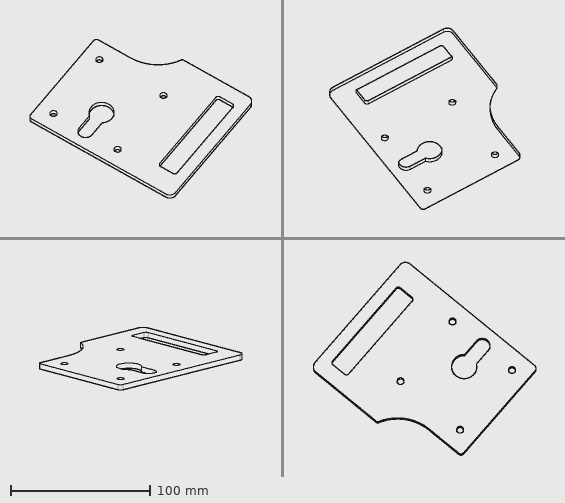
import cadquery as cq
import math

length = 125.0
width = 105.0
thickness = 4.0
left_corner_radius = 2.5
right_corner_radius = 5.0

step_height = 85.0
scoop_radius = 35.0
scoop_start_x = 30.5

lock_x = 41.0
lock_y = 33.2
lock_radius = 9.0
lock_slot_width = 11.0
lock_bottom_y = 7.5

hole_diameter = 5.0
hole_spacing_x = 56.0
hole_spacing_y = 58.0
lower_hole_y = 13.0

window_width = 15.0
window_length = 75.0
window_left_x = 101.0
window_bottom_y = 18.0
window_corner_radius = 2.0


def plate():
    """Plate outline with its concave scoop and rounded outer corners."""
    scoop_center_y = step_height + scoop_radius
    scoop_end_angle = math.asin((width - scoop_center_y) / scoop_radius)
    scoop_mid_angle = (scoop_end_angle - math.pi / 2) / 2

    def scoop_point(angle):
        return (
            scoop_start_x + scoop_radius * math.cos(angle),
            scoop_center_y + scoop_radius * math.sin(angle),
        )

    body = (
        cq.Workplane("XY")
        .lineTo(length, 0)
        .lineTo(length, width)
        .lineTo(*scoop_point(scoop_end_angle))
        .threePointArc(scoop_point(scoop_mid_angle), (scoop_start_x, step_height))
        .lineTo(0, step_height)
        .close()
        .extrude(thickness)
    )
    body = body.edges("|Z and <X").fillet(left_corner_radius)
    return body.edges("|Z and >X").fillet(right_corner_radius)


def lock_cutout():
    """Round cylinder opening with a round-ended slot below it."""
    slot_radius = lock_slot_width / 2
    slot_end_y = lock_bottom_y + slot_radius
    opening = cq.Workplane("XY").center(lock_x, lock_y).circle(lock_radius).extrude(thickness)
    slot = (
        cq.Workplane("XY")
        .moveTo(lock_x - slot_radius, lock_y)
        .lineTo(lock_x - slot_radius, slot_end_y)
        .threePointArc((lock_x, lock_bottom_y), (lock_x + slot_radius, slot_end_y))
        .lineTo(lock_x + slot_radius, lock_y)
        .close()
        .extrude(thickness)
    )
    return opening.union(slot)


def screw_holes():
    """Four through holes on a rectangle."""
    return (
        cq.Workplane("XY")
        .center(lock_x, lower_hole_y + hole_spacing_y / 2)
        .rect(hole_spacing_x, hole_spacing_y, forConstruction=True)
        .vertices()
        .circle(hole_diameter / 2)
        .extrude(thickness)
    )


def window():
    """Long rectangular opening with rounded corners."""
    return (
        cq.Workplane("XY")
        .center(window_left_x + window_width / 2, window_bottom_y + window_length / 2)
        .rect(window_width, window_length)
        .extrude(thickness)
        .edges("|Z")
        .fillet(window_corner_radius)
    )


result = plate().cut(lock_cutout()).cut(screw_holes()).cut(window())